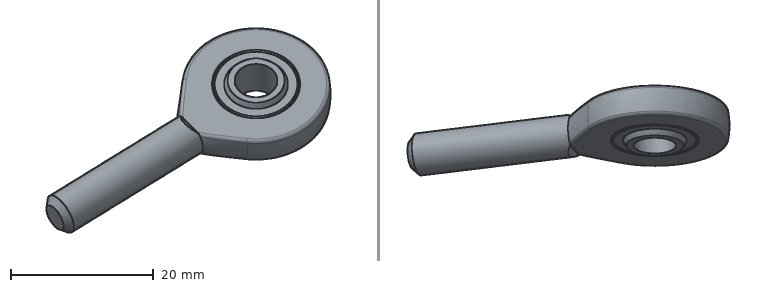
import cadquery as cq
import math

overall_length = 46.45
eye_radius = 10.5
eye_thickness = 4.4
eye_edge_fillet = 0.5
shank_diameter = 6.0
shank_tip_chamfer = 1.0
bore_diameter = 6.0
ball_width = 6.0
ball_diameter = 10.0
liner_outer_diameter = 12.0
liner_seam_chamfer = 0.2

edge_search_margin = 0.005

liner_radius = liner_outer_diameter / 2
shank_radius = shank_diameter / 2
half_thickness = eye_thickness / 2
tip_y = eye_radius - overall_length
tangent_offset = eye_radius / math.sqrt(2)
neck_end_y = shank_radius - 2 * tangent_offset
shank_ramp_length = shank_radius - half_thickness


def make_eye():
    """Sphere with a tangent 45 degree neck cone about Y, cut to a flat slab with rounded edges."""
    teardrop = (
        cq.Workplane("XY")
        .moveTo(0, eye_radius)
        .threePointArc((eye_radius, 0), (tangent_offset, -tangent_offset))
        .lineTo(shank_radius, neck_end_y)
        .lineTo(0, neck_end_y)
        .close()
        .revolve(360, (0, 0, 0), (0, 1, 0))
    )
    slab_side = 4 * eye_radius
    slab = cq.Workplane("XY").box(slab_side, slab_side, eye_thickness)
    neck_end = cq.selectors.BoxSelector(
        (-eye_radius, neck_end_y - edge_search_margin, -eye_radius),
        (eye_radius, neck_end_y + edge_search_margin, eye_radius),
    )
    rim = cq.selectors.InverseSelector(neck_end)
    return teardrop.intersect(slab).faces("|Z").edges(rim).fillet(eye_edge_fillet)


def make_shank():
    """Round shank with a chamfered tip, ramped at its root from the two eye faces."""
    shank = (
        cq.Workplane("XZ", origin=(0, neck_end_y, 0))
        .circle(shank_radius)
        .extrude(neck_end_y - tip_y)
        .faces("<Y")
        .chamfer(shank_tip_chamfer)
    )
    ramped_outline = (
        cq.Workplane("YZ")
        .moveTo(neck_end_y, half_thickness)
        .lineTo(neck_end_y - shank_ramp_length, shank_radius)
        .lineTo(tip_y, shank_radius)
        .lineTo(tip_y, -shank_radius)
        .lineTo(neck_end_y - shank_ramp_length, -shank_radius)
        .lineTo(neck_end_y, -half_thickness)
        .close()
        .extrude(shank_radius, both=True)
    )
    return shank.intersect(ramped_outline)


def make_housing():
    """Rod end housing: eye and shank in one piece, with a hole for the liner chamfered at both faces."""
    blank = make_eye().union(make_shank())
    hole_outline = (
        cq.Workplane("XZ")
        .moveTo(0, half_thickness)
        .lineTo(liner_radius + liner_seam_chamfer, half_thickness)
        .lineTo(liner_radius, half_thickness - liner_seam_chamfer)
        .lineTo(liner_radius, liner_seam_chamfer - half_thickness)
        .lineTo(liner_radius + liner_seam_chamfer, -half_thickness)
        .lineTo(0, -half_thickness)
        .close()
    )
    return blank.cut(hole_outline.revolve(360, (0, 0, 0), (0, 1, 0)))


def make_liner():
    """Bearing ring with chamfered outer edges and a spherical seat for the ball."""
    ring = (
        cq.Workplane("XY", origin=(0, 0, -half_thickness))
        .circle(liner_radius)
        .extrude(eye_thickness)
        .edges("%CIRCLE")
        .chamfer(liner_seam_chamfer)
    )
    return ring.cut(cq.Workplane("XY").sphere(ball_diameter / 2))


def make_ball():
    """Sphere with two flat end faces and a through bore."""
    bored_blank = (
        cq.Workplane("XY", origin=(0, 0, -ball_width / 2))
        .circle(ball_diameter)
        .circle(bore_diameter / 2)
        .extrude(ball_width)
    )
    return cq.Workplane("XY").sphere(ball_diameter / 2).intersect(bored_blank)


housing = make_housing()
liner = make_liner()
ball = make_ball()

result = cq.Compound.makeCompound(
    [housing.solids().val(), liner.solids().val(), ball.solids().val()]
)